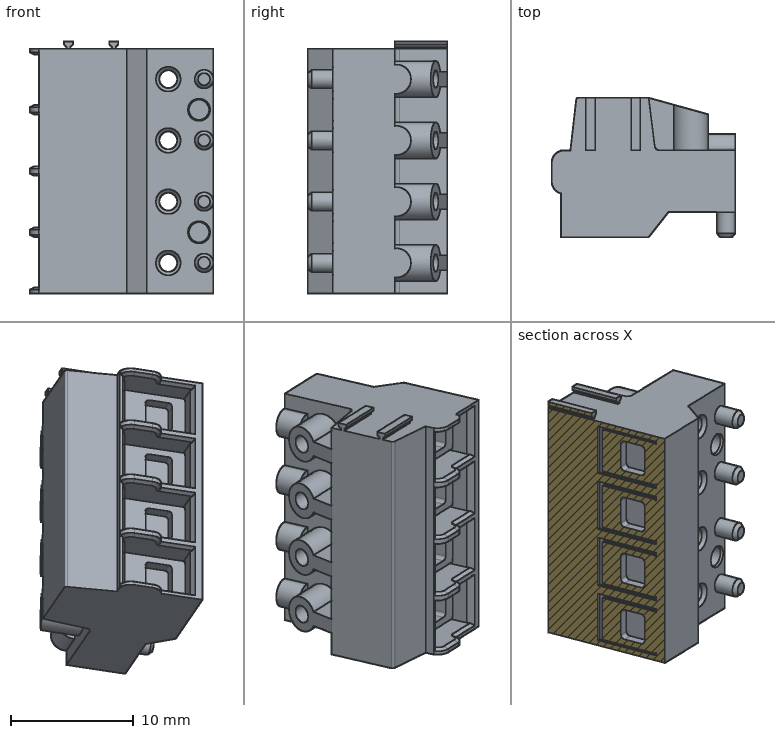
import cadquery as cq
import math

overlap = 0.2

total_height = 20.57
pole_count = 4
pitch = 5.0
body_height = pole_count * pitch
pole_centers = [(i + 0.5) * pitch for i in range(pole_count)]

front_x = 0.76
right_x = 15.0
shoulder_y = 7.1
top_y = 11.4
step_y = 2.05
step_start_x = 7.92
step_end_x = 9.55
tower_base_left = 1.52
tower_top_left = 2.02
tower_top_right = 7.92
tower_base_right = 8.45
tower_edge_radius = 0.2
tower_root_radius = 0.41

rib_tip_half_width = 0.2
end_rib_tip_width = 0.3
rib_bevel_height = 0.19
rib_bevel_depth = 0.37
rib_root = 0.82
rib_frame_root = 0.41
nose_bottom_y = 3.54
nose_radius = 1.0

trough_low_y = 0.64
trough_high_y = 6.85
trough_inner_high_y = 6.5
trough_lead_in = 0.62
trough_depth = 2.37
floor_x = front_x + trough_depth
pad_low_y = 0.86
pad_high_y = 6.13
pad_height = 3.76
pad_thickness = 0.41
pad_corner = 0.16
opening_center_y = 3.13
opening_width = 2.26
opening_height = 2.6
opening_corner = 0.3
opening_depth = 0.99

screw_x = 11.31
screw_radius = 0.72
screw_rim_radius = 1.0
screw_sink_depth = 0.3
collar_radius = 1.48
collar_end_x = screw_x + collar_radius
collar_end_y = 10.04
web_thickness = 1.23

tail_radius = 1.2
tail_center_y = 7.25

pin_radius = 0.76
pin_x = right_x - pin_radius
pin_tip_radius = 0.5
pin_tip_length = 0.33
peg_hole_x = 13.82
peg_hole_levels = [pitch, 3 * pitch]
peg_hole_radius = 0.82
peg_hole_rim_radius = 0.9
peg_hole_rim_depth = 0.2
peg_hole_depth = 2.05

rail_centers = [3.17, 6.87]
rail_width = 0.76
rail_foot_width = 0.33
rail_height = total_height - body_height
rail_foot_height = 0.12
rail_taper_height = 0.2


def block(x0, x1, y0, y1, z0, z1):
    """Box given by its limits."""
    return cq.Workplane("XY").box(x1 - x0, y1 - y0, z1 - z0, centered=False).translate((x0, y0, z0))


def along_y(x, z, y0, profile):
    """Body of revolution about a Y-parallel axis; profile holds (radius, distance past y0)."""
    turned = cq.Workplane("XY").polyline(profile).close().revolve(360, (0, 0, 0), (0, 1, 0))
    return turned.translate((x, y0, z))


def countersunk(radius, rim_radius, rim_depth, depth):
    """Profile of a hole with a conical rim."""
    return [(0, 0), (rim_radius, 0), (radius, rim_depth), (radius, depth), (0, depth)]


def housing():
    """Body with the tower on its back, extruded over all poles."""
    shell = (
        cq.Workplane("XY")
        .polyline([
            (front_x, 0), (step_start_x, 0), (step_end_x, step_y), (right_x, step_y),
            (right_x, shoulder_y), (tower_base_right, shoulder_y), (tower_top_right, top_y),
            (tower_top_left, top_y), (tower_base_left, shoulder_y), (front_x, shoulder_y),
        ])
        .close()
        .extrude(body_height)
    )
    middle_z = body_height / 2
    top_edge = cq.selectors.NearestToPointSelector((tower_top_left, top_y, middle_z))
    root_edge = cq.selectors.NearestToPointSelector((tower_base_right, shoulder_y, middle_z))
    shell = shell.edges(top_edge).fillet(tower_edge_radius)
    return shell.edges(root_edge).fillet(tower_root_radius)


def collar(z):
    """Sloped-top collar round one screw, tied to the tower by a web."""
    base_y = shoulder_y - overlap
    tube = along_y(screw_x, z, base_y, [
        (0, 0), (collar_radius, 0), (collar_radius, top_y - base_y), (0, top_y - base_y)])
    web = block(tower_top_right - overlap, screw_x, base_y, top_y,
                z - web_thickness / 2, z + web_thickness / 2)
    side = (
        cq.Workplane("XY")
        .polyline([(tower_top_right - overlap, 0), (collar_end_x, 0), (collar_end_x, collar_end_y),
                   (tower_top_right, top_y), (tower_top_right - overlap, top_y)])
        .close()
        .extrude(body_height)
    )
    return tube.union(web).intersect(side)


def tail(z):
    """Round-topped ridge running from the collar to the back face."""
    ridge = (cq.Workplane("YZ").center(tail_center_y, z).circle(tail_radius)
             .extrude(right_x - collar_end_x).translate((collar_end_x, 0, 0)))
    foot = block(collar_end_x, right_x, shoulder_y - overlap, tail_center_y,
                 z - tail_radius, z + tail_radius)
    return ridge.union(foot)


def wire_trough():
    """Recess along the whole front face, with sloped lead-ins at both long sides."""
    lead_x = front_x + trough_lead_in
    return (
        cq.Workplane("XY")
        .polyline([
            (front_x, trough_low_y), (lead_x, pad_low_y), (floor_x, pad_low_y),
            (floor_x, trough_inner_high_y), (lead_x, trough_inner_high_y), (front_x, trough_high_y),
        ])
        .close()
        .extrude(body_height)
    )


def wire_pad(z):
    """Raised pad on the trough floor, and the blind wire opening to cut into it."""
    pad_x = floor_x - pad_thickness
    pad = block(pad_x, floor_x + overlap, pad_low_y, pad_high_y, z - pad_height / 2, z + pad_height / 2)
    pad = pad.edges("|X").fillet(pad_corner)
    half_width = opening_width / 2
    half_height = opening_height / 2
    opening = block(pad_x, pad_x + opening_depth, opening_center_y - half_width,
                    opening_center_y + half_width, z - half_height, z + half_height)
    return pad, opening.edges("|X").fillet(opening_corner)


def rib_outline():
    """Rib shape in XY, with a rounded nose standing out from the front face."""
    inner_x = floor_x + rib_root
    low_y = trough_low_y - rib_frame_root
    r = nose_radius
    lower_center_y = nose_bottom_y + r
    lower_arc_end_y = lower_center_y - math.sqrt(r**2 - (r - front_x) ** 2)
    return (
        cq.Workplane("XY")
        .moveTo(inner_x, low_y)
        .lineTo(front_x, low_y)
        .lineTo(front_x, lower_arc_end_y)
        .radiusArc((0, lower_center_y), r)
        .lineTo(0, shoulder_y - r)
        .radiusArc((r, shoulder_y), r)
        .lineTo(inner_x, shoulder_y)
        .close()
    )


def half_rib(tip_thickness):
    """Rib with its flat face on z = 0 and its free edge bevelled on the upper face."""
    bevel_angle = math.degrees(math.atan2(rib_bevel_depth, rib_bevel_height))
    core = rib_outline().extrude(tip_thickness)
    bevel = rib_outline().extrude(rib_bevel_height, taper=bevel_angle).translate((0, 0, tip_thickness))
    return core.union(bevel)


def ribs():
    """Ribs bevelled on both faces between the poles, and one-sided ribs flush with the two ends."""
    upper = half_rib(rib_tip_half_width)
    divider = upper.union(upper.mirror("XY"))
    end_rib = half_rib(end_rib_tip_width)
    parts = end_rib.union(end_rib.mirror("XY").translate((0, 0, body_height)))
    for level in range(1, pole_count):
        parts = parts.union(divider.translate((0, 0, level * pitch)))
    return parts


def rail(x):
    """Bar along Y on the top end, tapering down to a narrow foot."""
    half_width = rail_width / 2
    half_foot = rail_foot_width / 2
    taper_top = rail_foot_height + rail_taper_height
    half = [
        (half_foot, -overlap), (half_foot, rail_foot_height),
        (half_width, taper_top), (half_width, rail_height),
    ]
    mirrored = [(-across, up) for across, up in reversed(half)]
    bar = cq.Workplane("XZ").polyline(half + mirrored).close().extrude(shoulder_y - top_y)
    return bar.translate((x, shoulder_y, body_height))


def solder_pin(z):
    """Round pin below the foot with a bevelled tip."""
    length = step_y + overlap
    return along_y(pin_x, z, 0, [
        (0, 0), (pin_tip_radius, 0), (pin_radius, pin_tip_length), (pin_radius, length), (0, length)])


body = housing().cut(wire_trough())
for z in pole_centers:
    pad, opening = wire_pad(z)
    body = body.union(collar(z)).union(tail(z)).union(solder_pin(z))
    body = body.union(pad).cut(opening)

body = body.union(ribs())
for x in rail_centers:
    body = body.union(rail(x))

screw_profile = countersunk(screw_radius, screw_rim_radius, screw_sink_depth, top_y - step_y)
for z in pole_centers:
    body = body.cut(along_y(screw_x, z, step_y, screw_profile))

peg_profile = countersunk(peg_hole_radius, peg_hole_rim_radius, peg_hole_rim_depth, peg_hole_depth)
for z in peg_hole_levels:
    body = body.cut(along_y(peg_hole_x, z, step_y, peg_profile))

result = body